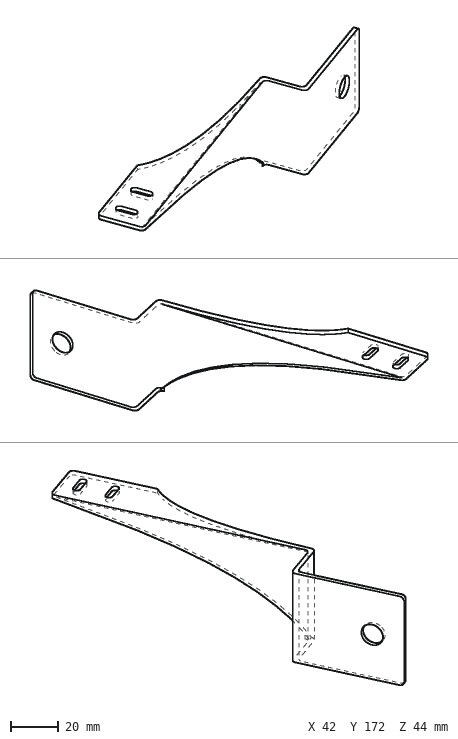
import cadquery as cq

length = 172.0
width = 42.0
height = 44.0

sheet = 2.0
bend_radius = 2.0
corner_radius = 2.0

arm_width = 22.0
web_left = arm_width - sheet
flange_bottom = height - sheet

step_back = 121.8
step_front = step_back - sheet
plate_left = width - sheet

flange_straight_length = 40.0
flange_curve_control = (18.5, 56.2)

web_curve_start = (flange_straight_length, 35.5)
web_curve_control = (99.8, 23.5)

slot_length = 10.0
slot_width = 3.3
slot_center_x = 10.0
slot_center_y = (8.5, 23.4)
hole_diameter = 10.0
hole_center_y = length - 14.8
hole_center_z = height / 2


def box(x_range, y_range, z_range):
    """Return a box spanning the given (start, end) ranges."""
    sizes = [end - start for start, end in (x_range, y_range, z_range)]
    corner = (x_range[0], y_range[0], z_range[0])
    return cq.Workplane("XY").box(*sizes, centered=False).translate(corner)


def make_flange():
    """Horizontal flange, narrowing along a curve towards the step."""
    flange = (
        cq.Workplane("XY", origin=(0, 0, flange_bottom))
        .lineTo(arm_width, 0)
        .lineTo(arm_width, step_back)
        .lineTo(web_left, step_back)
        .lineTo(web_left, step_front)
        .bezier([flange_curve_control, (0, flange_straight_length)], includeCurrent=True)
        .close()
        .extrude(sheet)
    )
    return flange.edges("|Z and <Y").fillet(corner_radius)


def make_web():
    """Vertical web whose lower edge rises in a curve, then straight to the flange."""
    return (
        cq.Workplane("YZ", origin=(web_left, 0, 0))
        .moveTo(step_back, height)
        .lineTo(corner_radius, height)
        .lineTo(corner_radius, flange_bottom)
        .lineTo(*web_curve_start)
        .bezier([web_curve_control, (step_front, 0)], includeCurrent=True)
        .lineTo(step_back, 0)
        .close()
        .extrude(sheet)
    )


def make_step():
    """Step plate across X."""
    return box((web_left, width), (step_front, step_back), (0, height))


def make_mounting_plate():
    """Rear plate with rounded free corners and a mounting hole."""
    plate = box((plate_left, width), (step_front, length), (0, height))
    plate = plate.edges("|X and >Y").fillet(corner_radius)
    hole = (
        cq.Workplane("YZ", origin=(plate_left, 0, 0))
        .center(hole_center_y, hole_center_z)
        .circle(hole_diameter / 2)
        .extrude(sheet)
    )
    return plate.cut(hole)


def bend_corner(corner_x, corner_y, direction_x, direction_y):
    """Full-height piece between a square corner and the arc that rounds it."""
    arc_x = corner_x + direction_x * bend_radius
    arc_y = corner_y + direction_y * bend_radius
    square = box(
        (min(corner_x, arc_x), max(corner_x, arc_x)),
        (min(corner_y, arc_y), max(corner_y, arc_y)),
        (0, height),
    )
    rounding = cq.Workplane("XY").center(arc_x, arc_y).circle(bend_radius).extrude(height)
    return square.cut(rounding)


def make_slots():
    """Cutters for the slots through the flange."""
    return (
        cq.Workplane("XY", origin=(0, 0, flange_bottom))
        .pushPoints([(slot_center_x, y) for y in slot_center_y])
        .slot2D(slot_length, slot_width)
        .extrude(sheet)
    )


bracket = make_flange().union(make_web()).union(make_step()).union(make_mounting_plate())

bracket = bracket.cut(bend_corner(web_left, step_back, 1, -1))
bracket = bracket.cut(bend_corner(width, step_front, -1, 1))

bracket = bracket.union(bend_corner(arm_width, step_front, 1, -1))
bracket = bracket.union(bend_corner(plate_left, step_back, -1, 1))

result = bracket.cut(make_slots())